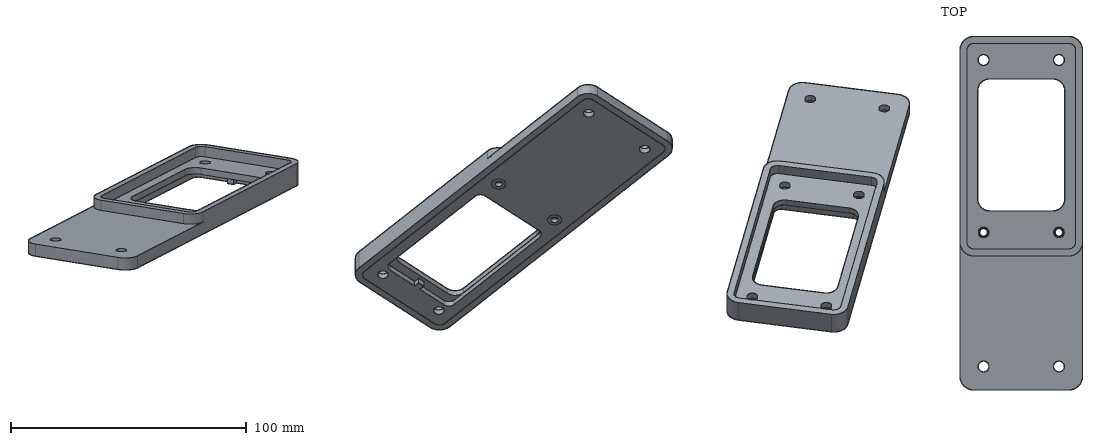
import cadquery as cq

LENGTH = 150.0
WIDTH = 52.0
HEIGHT = 10.0
CORNER_RADIUS = 6.0

BASE_TOP = 5.5
FLOOR_THICKNESS = 2.8
FRAME_LENGTH = 93.2
WALL = 3.0
FRAME_START = LENGTH - FRAME_LENGTH
FLOOR_BOTTOM = BASE_TOP - FLOOR_THICKNESS
INNER_WIDTH = WIDTH - 2 * WALL
INNER_RADIUS = CORNER_RADIUS - WALL

WINDOW_WIDTH = 36.8
WINDOW_LENGTH = 55.8
WINDOW_RADIUS = 5.0
WINDOW_END = LENGTH - 18.2
WINDOW_START = WINDOW_END - WINDOW_LENGTH

COVER_PROUD = 0.2
COVER_WINDOW_END = WINDOW_END + 4.0
COVER_WINDOW_RADIUS = 3.0
TAB_WIDTH = 3.0
TAB_LENGTH = 2.5

HOLE_DIAMETER = 4.5
HOLE_INSET = 10.0
HOLE_X = WIDTH / 2 - HOLE_INSET
END_HOLE_ROWS = (HOLE_INSET, LENGTH - HOLE_INSET)
INSERT_ROW = FRAME_START + HOLE_INSET
INSERT_DIAMETER = 6.0
INSERT_BORE = 3.2
INSERT_CHAMFER = 0.5


def rounded_block(width, y_start, y_end, z_bottom, z_top, radius):
    """Block centred on X with rounded vertical corners."""
    return (
        cq.Workplane("XY", origin=(0, (y_start + y_end) / 2, z_bottom))
        .rect(width, y_end - y_start)
        .extrude(z_top - z_bottom)
        .edges("|Z")
        .fillet(radius)
    )


def row_points(*rows):
    """Left and right hole centres in each of the given rows."""
    return [(x, y) for y in rows for x in (-HOLE_X, HOLE_X)]


def cylinders(points, diameter, height):
    """Vertical cylinders that start at the bottom plane."""
    return cq.Workplane("XY").pushPoints(points).circle(diameter / 2).extrude(height)


def make_housing():
    base = rounded_block(WIDTH, 0, LENGTH, COVER_PROUD, BASE_TOP, CORNER_RADIUS)
    frame = rounded_block(WIDTH, FRAME_START, LENGTH, COVER_PROUD, HEIGHT, CORNER_RADIUS)
    pocket = rounded_block(INNER_WIDTH, FRAME_START + WALL, LENGTH - WALL, BASE_TOP, HEIGHT, INNER_RADIUS)
    recess = rounded_block(INNER_WIDTH, WALL, LENGTH - WALL, 0, FLOOR_BOTTOM, INNER_RADIUS)
    window = rounded_block(WINDOW_WIDTH, WINDOW_START, WINDOW_END, 0, HEIGHT, WINDOW_RADIUS)
    holes = cylinders(row_points(INSERT_ROW, *END_HOLE_ROWS), HOLE_DIAMETER, HEIGHT)
    return base.union(frame).cut(pocket).cut(recess).cut(window).cut(holes)


def make_cover():
    plate = rounded_block(INNER_WIDTH, WALL, LENGTH - WALL, 0, FLOOR_BOTTOM, INNER_RADIUS)
    window = rounded_block(
        WINDOW_WIDTH, WINDOW_START, COVER_WINDOW_END, 0, FLOOR_BOTTOM, COVER_WINDOW_RADIUS
    )
    tab = cq.Workplane("XY").box(TAB_WIDTH, TAB_LENGTH, FLOOR_BOTTOM, centered=(True, False, False))
    tab = tab.translate((0, COVER_WINDOW_END - TAB_LENGTH, 0))
    holes = cylinders(row_points(*END_HOLE_ROWS), HOLE_DIAMETER, FLOOR_BOTTOM)
    insert_seats = cylinders(row_points(INSERT_ROW), INSERT_DIAMETER, FLOOR_BOTTOM)
    return plate.cut(window).union(tab).cut(holes).cut(insert_seats)


def make_insert(x, y):
    """Round threaded insert whose bore has a chamfered mouth."""
    return (
        cq.Workplane("XY", origin=(x, y, 0))
        .circle(INSERT_DIAMETER / 2)
        .circle(INSERT_BORE / 2)
        .extrude(FLOOR_BOTTOM)
        .faces(">Z")
        .edges(cq.selectors.RadiusNthSelector(0))
        .chamfer(INSERT_CHAMFER)
    )


housing = make_housing()
cover = make_cover()
inserts = [make_insert(x, y) for x, y in row_points(INSERT_ROW)]

result = cq.Compound.makeCompound([housing.val(), cover.val(), *[insert.val() for insert in inserts]])